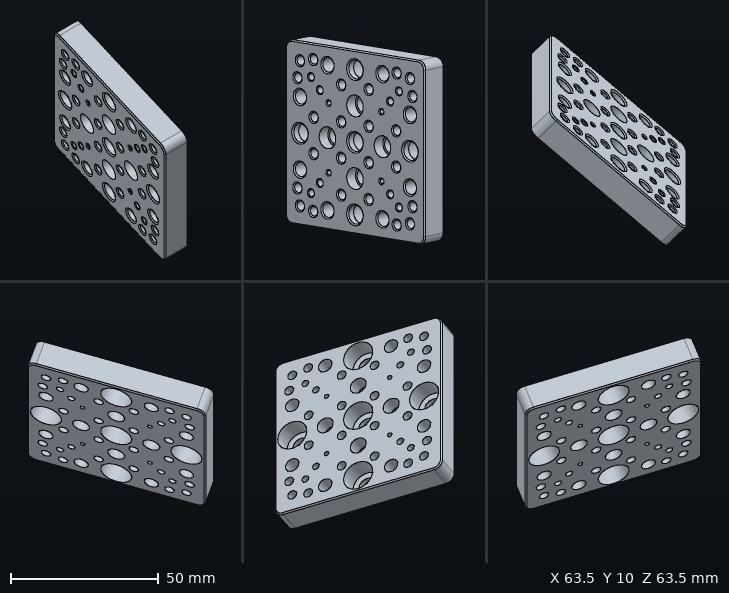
import cadquery as cq

side = 63.5
thickness = 10.0
corner_radius = 3.1
edge_chamfer = 0.5

pitch = 12.5
half_pitch = pitch / 2
mount_near = 19.0
mount_far = 26.15
diagonal_inner = 12.0
diagonal_step = 4.0

large_hole = 6.5
medium_hole = 5.0
small_hole = 3.3
guide_hole = 2.5
pin_hole = 1.6
mouth_chamfer = 0.5
small_chamfer = 0.45
guide_chamfer = 0.3
pin_chamfer = 0.4

counterbore = 11.0
counterbore_depth = 7.0

step_bore = 7.5
step_hole = 6.0
step_depth = 4.45

front = -thickness / 2
back = thickness / 2


def mirrored(x, z):
    """Reflect a point about both centre lines, without repeats."""
    return sorted({(sx * x, sz * z) for sx in (1, -1) for sz in (1, -1)})


def mirrored_and_swapped(x, z):
    """Reflect a point about both centre lines and both diagonals, without repeats."""
    return sorted(set(mirrored(x, z) + mirrored(z, x)))


def bores(points, diameter, y_start, y_end):
    """Cylinders parallel to Y between two depths."""
    plane = cq.Workplane("XZ", origin=(0, y_start, 0))
    return plane.pushPoints(points).circle(diameter / 2).extrude(y_start - y_end)


def drill(body, points, diameter, chamfer):
    """Cut through holes with 45 degree chamfers at their front mouths."""
    radius = diameter / 2
    half_section = [
        (0, front),
        (radius + chamfer, front),
        (radius, front + chamfer),
        (radius, back),
        (0, back),
    ]
    cutter = cq.Workplane("XY").polyline(half_section).close().revolve(360, (0, 0, 0), (0, 1, 0))
    for x, z in points:
        body = body.cut(cutter.translate((x, 0, z)))
    return body


plate = cq.Workplane("XZ").rect(side, side).extrude(back, both=True)
plate = plate.edges("|Y").fillet(corner_radius)
plate = plate.faces("<Y or >Y").edges().chamfer(edge_chamfer)

large_points = [(0, 0)] + mirrored_and_swapped(2 * pitch, 0)
plate = drill(plate, large_points, large_hole, mouth_chamfer)
plate = plate.cut(bores(large_points, counterbore, back - counterbore_depth, back))

medium_points = mirrored_and_swapped(2 * pitch, pitch)
plate = drill(plate, medium_points, medium_hole, mouth_chamfer)

small_points = (
    mirrored(half_pitch, half_pitch)
    + mirrored(3 * half_pitch, half_pitch)
    + mirrored(half_pitch, mount_near)
    + mirrored(2 * pitch, 2 * pitch)
    + mirrored_and_swapped(mount_near, mount_far)
)
plate = drill(plate, small_points, small_hole, small_chamfer)

pin_points = mirrored(diagonal_inner, diagonal_inner)
plate = drill(plate, pin_points, pin_hole, pin_chamfer)
for step in (1, 2):
    offset = diagonal_inner + step * diagonal_step
    plate = drill(plate, mirrored(offset, offset), guide_hole, guide_chamfer)

step_points = mirrored_and_swapped(pitch, 0)
plate = plate.cut(bores(step_points, step_hole, front, back))
plate = plate.cut(bores(step_points, step_bore, front, front + step_depth))

result = plate